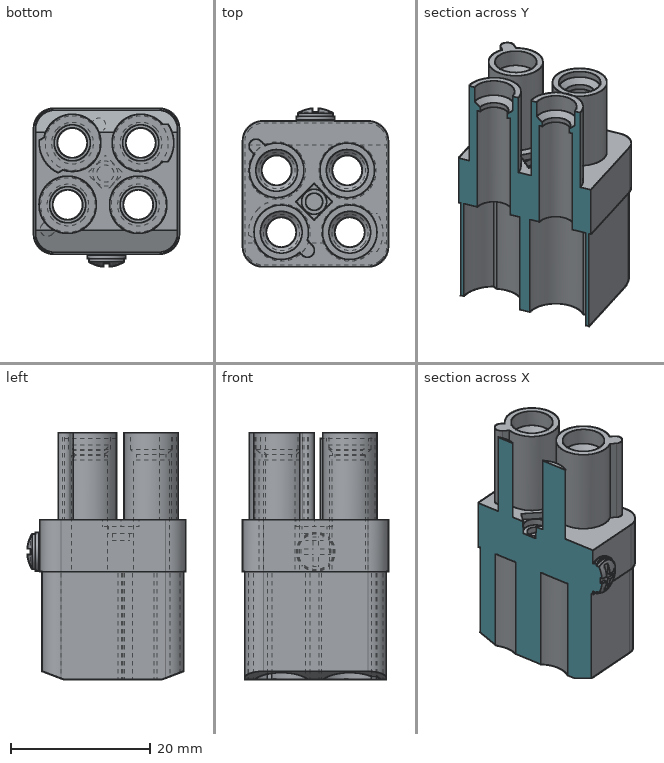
import cadquery as cq
import math

body_width = 20.4
collar_width = 21.0
collar_corner_radius = 3.0
body_corner_radius = collar_corner_radius - (collar_width - body_width) / 2
body_height = 15.5
collar_height = 7.5
collar_top = body_height + collar_height

bevel_height = 1.2
bevel_depth = 3.15

tower_height = 12.5
short_tower_height = 11.65
back_y = 3.38
front_y = -5.51
front_x = 4.92
back_left = (-5.58, back_y)
back_right = (4.56, back_y)
front_left = (-front_x, front_y)
front_right = (front_x, front_y)
tower_radius = 3.92

counterbore_radius = 3.0
hole_radius = 2.13
counterbore_depth = 2.4
short_counterbore_depth = 0.93
cone_height = 0.75
lip_height = 0.75
cavity_radius = 2.6
rear_bore_radius = 4.12

contacts = [
    (back_left, tower_height, counterbore_depth),
    (back_right, short_tower_height, short_counterbore_depth),
    (front_left, tower_height, counterbore_depth),
    (front_right, tower_height, counterbore_depth),
]

rib_radius = 1.0
back_rib_offset = (-2.97, 3.49)
front_rib_offset = (3.75, -2.6)
rib_angle = 135

keyway_radius = 4.75
keyway_width = 5.4
left_keyway_angle = 150
right_keyway_angle = 0

recess_center = (-0.2, -1.13)
recess_square = 3.71
recess_angle = 45
recess_seat_radius = 1.8
recess_pilot_radius = 1.23
recess_step = 1.0

screw_z = 18.4
screw_height = 1.85
washer_radius = 2.8
washer_foot_radius = 2.7
washer_foot = 0.15
washer_top = 0.62
head_radius = 2.55
head_edge = 1.1
slot_width = 0.8
slot_depth = 0.52


def rounded_block(width, corner_radius, bottom, height):
    block = cq.Workplane("XY").workplane(offset=bottom).rect(width, width).extrude(height)
    return block.edges("|Z").fillet(corner_radius)


def cylinder(center, radius, bottom, top):
    return cq.Workplane("XY").workplane(offset=bottom).center(*center).circle(radius).extrude(top - bottom)


def bevel_cutter(side):
    """Wedge under the lower edge on the +Y (side = 1) or -Y (side = -1) face."""
    edge = side * body_width / 2
    profile = cq.Workplane("YZ").moveTo(edge - side * bevel_depth, 0)
    profile = profile.lineTo(edge, bevel_height).lineTo(edge, 0).close()
    return profile.extrude(body_width / 2, both=True)


def coding_rib(axis, offset, bottom, top):
    """Diagonal bar with a rounded outer end that reaches inward to the tower wall."""
    end = (axis[0] + offset[0], axis[1] + offset[1])
    inward = 1 if offset[0] < 0 else -1
    shift = inward * rib_radius * math.sqrt(0.5)
    bar = (
        cq.Workplane("XY")
        .workplane(offset=bottom)
        .center(end[0] + shift, end[1] - shift)
        .transformed(rotate=(0, 0, rib_angle))
        .rect(2 * rib_radius, 2 * rib_radius)
        .extrude(top - bottom)
    )
    return bar.union(cylinder(end, rib_radius, bottom, top))


def tower_hole(axis, top, depth):
    """Revolved cutter for the stepped hole and the rear bore of one tower."""
    floor = top - depth
    cone_bottom = floor - cone_height
    lip_bottom = cone_bottom - lip_height
    profile = [
        (0, 0),
        (rear_bore_radius, 0),
        (rear_bore_radius, body_height),
        (cavity_radius, body_height),
        (cavity_radius, lip_bottom),
        (hole_radius, lip_bottom),
        (hole_radius, cone_bottom),
        (counterbore_radius, floor),
        (counterbore_radius, top),
        (0, top),
    ]
    cutter = cq.Workplane("XZ").polyline(profile).close().revolve(360, (0, 0, 0), (0, 1, 0))
    return cutter.translate((axis[0], axis[1], 0))


def keyway(axis, angle):
    """Parallel-sided slot from the bore axis toward the given angle, ending in an arc about that axis."""
    half_width = keyway_width / 2
    straight = math.sqrt(keyway_radius**2 - half_width**2)
    cutter = (
        cq.Workplane("XY")
        .moveTo(0, -half_width)
        .lineTo(straight, -half_width)
        .threePointArc((keyway_radius, 0), (straight, half_width))
        .lineTo(0, half_width)
        .close()
        .extrude(body_height)
    )
    return cutter.rotate((0, 0, 0), (0, 0, 1), angle).translate((axis[0], axis[1], 0))


def center_recess():
    square = (
        cq.Workplane("XY")
        .workplane(offset=collar_top - recess_step)
        .center(*recess_center)
        .transformed(rotate=(0, 0, recess_angle))
        .rect(recess_square, recess_square)
        .extrude(recess_step)
    )
    seat = cylinder(recess_center, recess_seat_radius, collar_top - 2 * recess_step, collar_top)
    pilot = cylinder(recess_center, recess_pilot_radius, collar_top - 3 * recess_step, collar_top)
    return square.union(seat).union(pilot)


def screw():
    """Domed screw head on a washer, with a cross slot, pointing along +Y."""
    dome_rise = screw_height - head_edge
    dome_radius = (head_radius**2 + dome_rise**2) / (2 * dome_rise)
    middle_radius = head_radius / 2
    middle_height = screw_height - dome_radius + math.sqrt(dome_radius**2 - middle_radius**2)
    head = (
        cq.Workplane("XY")
        .lineTo(washer_foot_radius, 0)
        .lineTo(washer_foot_radius, washer_foot)
        .lineTo(washer_radius, washer_foot)
        .lineTo(washer_radius, washer_top)
        .lineTo(head_radius, washer_top)
        .lineTo(head_radius, head_edge)
        .threePointArc((middle_radius, middle_height), (0, screw_height))
        .close()
        .revolve(360, (0, 0, 0), (0, 1, 0))
    )
    slot = cq.Workplane("XY").box(2 * head_radius, 2 * slot_depth, slot_width)
    slot = slot.translate((0, screw_height, 0))
    head = head.cut(slot).cut(slot.rotate((0, 0, 0), (0, 1, 0), 90))
    return head.translate((0, collar_width / 2, screw_z))


result = rounded_block(body_width, body_corner_radius, 0, body_height)
result = result.union(rounded_block(collar_width, collar_corner_radius, body_height, collar_height))
for side in (-1, 1):
    result = result.cut(bevel_cutter(side))

for axis, height, depth in contacts:
    result = result.union(cylinder(axis, tower_radius, collar_top, collar_top + height))
tower_top = collar_top + tower_height
result = result.union(coding_rib(back_left, back_rib_offset, collar_top, tower_top))
result = result.union(coding_rib(front_left, front_rib_offset, collar_top, tower_top))

for axis, height, depth in contacts:
    result = result.cut(tower_hole(axis, collar_top + height, depth))
result = result.cut(keyway(front_left, left_keyway_angle))
result = result.cut(keyway(front_right, right_keyway_angle))
result = result.cut(center_recess())
result = result.union(screw())